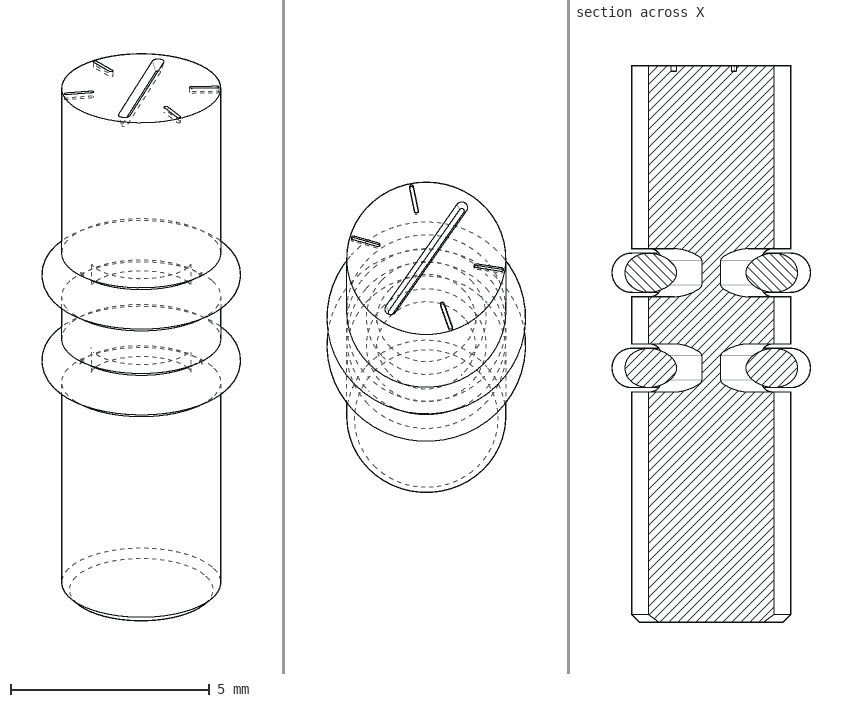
import cadquery as cq
import math

stem_length = 14
stem_diameter = 4.0
stem_radius = stem_diameter / 2
foot_chamfer = 0.2

ring_outer_diameter = 5.0
ring_section = 1.0
ring_section_radius = ring_section / 2
ring_center_radius = ring_outer_diameter / 2 - ring_section_radius
ring_count = 2
ring_pitch = 2.4
upper_ring_depth = 5.21
ring_heights = [stem_length - upper_ring_depth - i * ring_pitch for i in range(ring_count)]

neck_diameter = 2.5
groove_width = 1.2
groove_fillet = 0.3

slot_length = 3.5
slot_width = 0.3
slot_floor_width = 0.13
slot_depth = 0.3
slot_taper = math.degrees(math.atan((slot_width - slot_floor_width) / 2 / slot_depth))

mark_width = 0.1
mark_depth = 0.14
mark_inner_radius = 1.22
mark_outer_radius = 1.96
first_mark_angle = -45
mark_step = 62.5
mark_places = [0, 1, 3, 4]


def make_groove(height):
    """Tool that cuts a rounded-bottom groove centred on the given height."""
    neck_radius = neck_diameter / 2
    half_width = groove_width / 2
    flat_half_width = half_width - groove_fillet
    outer_radius = stem_diameter
    fillet_end_radius = neck_radius + groove_fillet
    arc_offset = groove_fillet * math.sqrt(0.5)
    arc_radius = fillet_end_radius - arc_offset
    arc_height = flat_half_width + arc_offset
    return (
        cq.Workplane("XZ", origin=(0, 0, height))
        .moveTo(outer_radius, -half_width)
        .lineTo(fillet_end_radius, -half_width)
        .threePointArc((arc_radius, -arc_height), (neck_radius, -flat_half_width))
        .lineTo(neck_radius, flat_half_width)
        .threePointArc((arc_radius, arc_height), (fillet_end_radius, half_width))
        .lineTo(outer_radius, half_width)
        .close()
        .revolve(360, (0, 0), (0, 1))
    )


def make_slot():
    """Tool that cuts the tapered slot along Y, down from the top face."""
    return (
        cq.Workplane("XY", origin=(0, 0, stem_length))
        .slot2D(slot_length, slot_width, 90)
        .extrude(-slot_depth, taper=slot_taper)
    )


def make_mark(angle):
    """Tool that cuts one round-ended radial mark that stops just inside the rim."""
    mark_length = mark_outer_radius - mark_inner_radius
    return (
        cq.Workplane("XY", origin=(0, 0, stem_length))
        .center(mark_inner_radius + mark_length / 2, 0)
        .slot2D(mark_length, mark_width)
        .extrude(-mark_depth)
        .rotate((0, 0, 0), (0, 0, 1), angle)
    )


def make_stem():
    body = cq.Workplane("XY").circle(stem_radius).extrude(stem_length)
    body = body.faces("<Z").chamfer(foot_chamfer)
    for height in ring_heights:
        body = body.cut(make_groove(height))
    body = body.cut(make_slot())
    for place in mark_places:
        body = body.cut(make_mark(first_mark_angle + place * mark_step))
    return body


def make_sealing_ring(height):
    return (
        cq.Workplane("XZ", origin=(0, 0, height))
        .center(ring_center_radius, 0)
        .circle(ring_section_radius)
        .revolve(360, (-ring_center_radius, 0), (-ring_center_radius, 1))
    )


stem = make_stem()
sealing_rings = [make_sealing_ring(height) for height in ring_heights]

result = cq.Compound.makeCompound([stem.val(), *[ring.val() for ring in sealing_rings]])